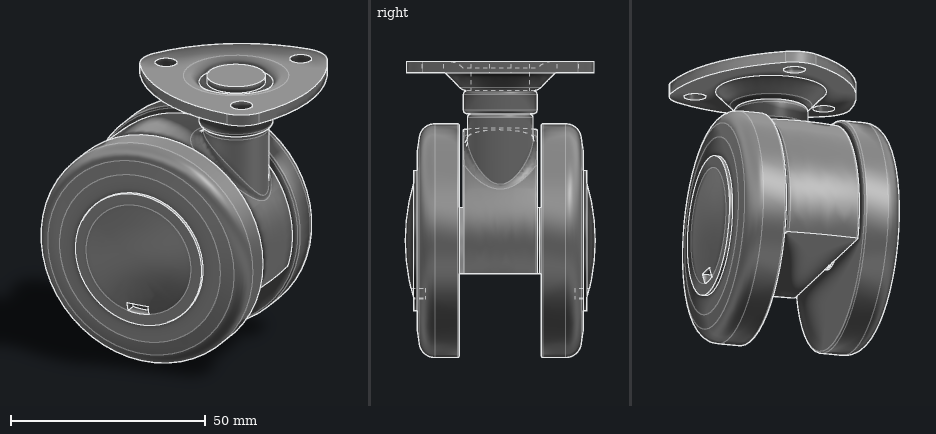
import cadquery as cq
import math

SWIVEL_X = 17.0

WHEEL_RADIUS = 30.0
WHEEL_INNER_Y = 10.5
TREAD_OUTER_Y = 16.8
SHOULDER_RADIUS = 4.0
SIDEWALL_SLOPE = math.radians(8.6)
INNER_EDGE_FILLET = 0.5
WEB_RADIUS = 22.95
CAP_RADIUS = 18.0
CAP_RIM_Y = 22.2
DOME_EDGE_RADIUS = 15.0
CAP_TIP_Y = 24.4
NOTCH_WIDTH = 6.0
NOTCH_TOP_Z = -12.2
NOTCH_FLOOR_Y = 19.15
HUB_RADIUS = 8.5

HOUSING_HALF_WIDTH = 9.6
HOUSING_RADIUS = 28.95
HOUSING_END_RADIUS = 28.6
HOUSING_BOTTOM_Z = -HUB_RADIUS
HOUSING_EDGE_FILLET = 0.5
NECK_RADIUS = 8.4
NECK_TOP_Z = 32.5
NECK_FILLET = 2.7
RIM_FILLET = 1.0
HUB_JOINT_Y = (HOUSING_HALF_WIDTH + WHEEL_INNER_Y) / 2

PLATE_TOP_Z = 46.0
PLATE_THICKNESS = 3.0
CORNER_REACH = 26.6
SIDE_REACH = 21.4
CORNER_RADIUS = 8.0
HOLE_CIRCLE_RADIUS = 20.0
HOLE_RADIUS = 2.8
DISH_BOTTOM_Z = 38.45
DISH_TOP_RADIUS = 14.2
DISH_TAPER_DEGREES = 45
DISH_FILLET = 3.0
RECESS_RADIUS = 13.5
RECESS_FLOOR_RADIUS = 9.5
RECESS_DEPTH = 1.75

PIN_RADIUS = 7.5
COLLAR_RADIUS = 9.5


def make_wheel():
    """Wheel on the -Y side, revolved about the axle; half-profile points are (radius, distance out)."""
    shoulder_center = WHEEL_RADIUS - SHOULDER_RADIUS

    def shoulder_point(angle):
        return (
            shoulder_center + SHOULDER_RADIUS * math.sin(angle),
            TREAD_OUTER_Y + SHOULDER_RADIUS * math.cos(angle),
        )

    shoulder_middle = shoulder_point((math.pi / 2 + SIDEWALL_SLOPE) / 2)
    shoulder_end = shoulder_point(SIDEWALL_SLOPE)
    web_y = shoulder_end[1] + (shoulder_end[0] - WEB_RADIUS) * math.tan(SIDEWALL_SLOPE)
    dome_rise = CAP_TIP_Y - CAP_RIM_Y
    dome_radius = (DOME_EDGE_RADIUS**2 + dome_rise**2) / (2 * dome_rise)
    profile = (
        cq.Workplane("XY")
        .moveTo(0, HUB_JOINT_Y)
        .lineTo(HUB_RADIUS, HUB_JOINT_Y)
        .lineTo(HUB_RADIUS, WHEEL_INNER_Y)
        .lineTo(WHEEL_RADIUS - INNER_EDGE_FILLET, WHEEL_INNER_Y)
        .radiusArc((WHEEL_RADIUS, WHEEL_INNER_Y + INNER_EDGE_FILLET), -INNER_EDGE_FILLET)
        .lineTo(WHEEL_RADIUS, TREAD_OUTER_Y)
        .threePointArc(shoulder_middle, shoulder_end)
        .lineTo(WEB_RADIUS, web_y)
        .lineTo(CAP_RADIUS, web_y)
        .lineTo(CAP_RADIUS, CAP_RIM_Y)
        .lineTo(DOME_EDGE_RADIUS, CAP_RIM_Y)
        .radiusArc((0, CAP_TIP_Y), -dome_radius)
        .close()
    )
    wheel = profile.revolve(360, (0, 0, 0), (0, 1, 0)).mirror("XZ")
    return wheel.cut(make_notch())


def make_notch():
    """Slot in the lower edge of the cap's dome, bounded below by the dome's rim."""
    depth = CAP_TIP_Y - NOTCH_FLOOR_Y
    slot = cq.Workplane("XY").box(NOTCH_WIDTH, depth, DOME_EDGE_RADIUS, centered=(True, False, False))
    slot = slot.translate((0, -CAP_TIP_Y, NOTCH_TOP_Z - DOME_EDGE_RADIUS))
    rim = cq.Workplane("XZ").circle(DOME_EDGE_RADIUS).extrude(CAP_TIP_Y)
    return slot.intersect(rim)


def make_housing():
    """Barrel between the wheels, flat below, with the neck blended into its top."""
    crown = HOUSING_RADIUS - HOUSING_END_RADIUS
    crown_arc_radius = (HOUSING_HALF_WIDTH**2 + crown**2) / (2 * crown)
    blank_half_width = HOUSING_HALF_WIDTH + 2 * NECK_FILLET
    blank_drop = crown_arc_radius - math.sqrt(crown_arc_radius**2 - blank_half_width**2)
    blank_end_radius = HOUSING_RADIUS - blank_drop
    barrel = (
        cq.Workplane("XY")
        .moveTo(0, -blank_half_width)
        .lineTo(blank_end_radius, -blank_half_width)
        .threePointArc((HOUSING_RADIUS, 0), (blank_end_radius, blank_half_width))
        .lineTo(0, blank_half_width)
        .close()
        .revolve(360, (0, 0, 0), (0, 1, 0))
    )
    neck = cq.Workplane("XY").center(SWIVEL_X, 0).circle(NECK_RADIUS).extrude(NECK_TOP_Z)
    body = barrel.union(neck)
    margin = 0.75
    seam_reach = NECK_RADIUS + margin
    joint = cq.selectors.BoxSelector(
        (SWIVEL_X - seam_reach, -seam_reach, margin),
        (SWIVEL_X + seam_reach, seam_reach, NECK_TOP_Z - margin),
        boundingbox=True,
    )
    body = body.edges(joint).fillet(NECK_FILLET)
    body = body.faces(">Z").edges().fillet(RIM_FILLET)

    height = NECK_TOP_Z - HOUSING_BOTTOM_Z
    envelope = cq.Workplane("XY").box(
        2 * WHEEL_RADIUS, 2 * HOUSING_HALF_WIDTH, height, centered=(True, True, False)
    )
    body = body.intersect(envelope.translate((0, 0, HOUSING_BOTTOM_Z)))
    body = body.faces("<Y or >Y").edges("not %LINE").fillet(HOUSING_EDGE_FILLET)
    hub = cq.Workplane("XZ").circle(HUB_RADIUS).extrude(HUB_JOINT_Y, both=True)
    return body.union(hub)


def plate_outline():
    """Three-cornered plate of wide arcs tangent to corner arcs, one corner pointing to -X."""
    corner_center = CORNER_REACH - CORNER_RADIUS
    side_gap = SIDE_REACH - CORNER_RADIUS
    side_center = (corner_center**2 - side_gap**2) / (2 * side_gap - corner_center)
    lean = math.asin(side_center * math.sin(math.pi / 3) / (side_center + side_gap))

    def polar(radius, angle):
        return (radius * math.cos(angle), radius * math.sin(angle))

    def corner_point(corner_angle, offset):
        x, y = polar(corner_center, corner_angle)
        dx, dy = polar(CORNER_RADIUS, corner_angle + offset)
        return (x + dx, y + dy)

    third = 2 * math.pi / 3
    outline = cq.Workplane("XY", origin=(SWIVEL_X, 0, PLATE_TOP_Z)).moveTo(*corner_point(math.pi, -lean))
    for i in range(3):
        corner = math.pi + i * third
        outline = outline.threePointArc(polar(CORNER_REACH, corner), corner_point(corner, lean))
        outline = outline.threePointArc(
            polar(SIDE_REACH, corner + third / 2), corner_point(corner + third, -lean)
        )
    return outline.close()


def make_plate():
    """Mounting plate with a dish below, a recess above, screw holes and a hole for the pin."""
    plate = plate_outline().extrude(-PLATE_THICKNESS)

    dish_depth = PLATE_TOP_Z - PLATE_THICKNESS - DISH_BOTTOM_Z
    dish = (
        cq.Workplane("XY", origin=(SWIVEL_X, 0, PLATE_TOP_Z - PLATE_THICKNESS))
        .circle(DISH_TOP_RADIUS)
        .extrude(-dish_depth, taper=DISH_TAPER_DEGREES)
        .faces("<Z")
        .edges()
        .fillet(DISH_FILLET)
    )
    plate = plate.union(dish)

    floor_z = PLATE_TOP_Z - RECESS_DEPTH
    wall_run = RECESS_RADIUS - RECESS_FLOOR_RADIUS
    wall_radius = (wall_run**2 + RECESS_DEPTH**2) / (2 * RECESS_DEPTH)
    recess = (
        cq.Workplane("XZ", origin=(SWIVEL_X, 0, 0))
        .moveTo(0, floor_z)
        .lineTo(RECESS_FLOOR_RADIUS, floor_z)
        .radiusArc((RECESS_RADIUS, PLATE_TOP_Z), wall_radius)
        .lineTo(0, PLATE_TOP_Z)
        .close()
        .revolve(360, (0, 0, 0), (0, 1, 0))
    )
    screw_holes = (
        cq.Workplane("XY", origin=(SWIVEL_X, 0, PLATE_TOP_Z))
        .polarArray(HOLE_CIRCLE_RADIUS, 180, 360, 3)
        .circle(HOLE_RADIUS)
        .extrude(-PLATE_THICKNESS)
    )
    pin_hole = cq.Workplane("XY", origin=(SWIVEL_X, 0, DISH_BOTTOM_Z)).circle(PIN_RADIUS)
    pin_hole = pin_hole.extrude(PLATE_TOP_Z - DISH_BOTTOM_Z)
    return plate.cut(recess).cut(screw_holes).cut(pin_hole)


def make_stem():
    """Swivel stem: a round-edged collar on the neck and a pin up through the plate."""
    collar = (
        cq.Workplane("XY", origin=(SWIVEL_X, 0, NECK_TOP_Z))
        .circle(COLLAR_RADIUS)
        .extrude(DISH_BOTTOM_Z - NECK_TOP_Z)
        .edges()
        .fillet(RIM_FILLET)
    )
    pin = cq.Workplane("XY", origin=(SWIVEL_X, 0, NECK_TOP_Z)).circle(PIN_RADIUS)
    return collar.union(pin.extrude(PLATE_TOP_Z - NECK_TOP_Z))


wheels = []
for turn in (0, 180):
    wheels.append(make_wheel().rotate((0, 0, 0), (0, 0, 1), turn).val())

result = cq.Compound.makeCompound(
    [make_housing().val(), make_plate().val(), make_stem().val(), *wheels]
)